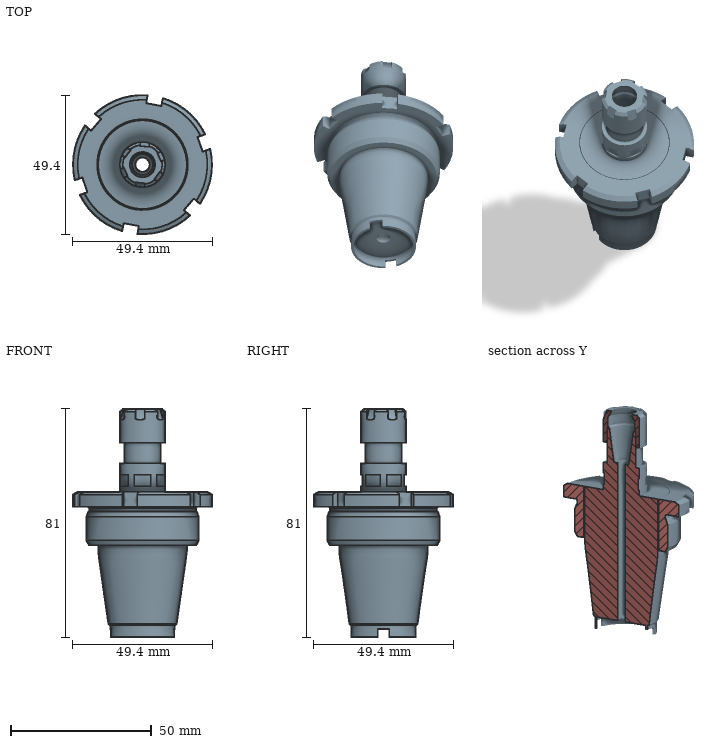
import cadquery as cq
import math

TOTAL_HEIGHT = 81.0
SHOULDER_LOW = 4.2
SHOULDER_HIGH = 4.8
TAPER_BREAK = 28.5
TAPER_TOP = 30.8
RING_BOTTOM = 32.55
FACE_HEIGHT = 51.6
COLLAR_TOP = 61.7
NUT_BOTTOM = 69.0
STEM_TOP = 75.0

FLANGE_DIAMETER = 49.4
FLANGE_THICKNESS = 5.35
FLANGE_CHAMFER_HEIGHT = 1.0
FLANGE_CHAMFER_WIDTH = 1.7
NECK_DIAMETER = 38.0
NECK_BOTTOM = 44.7
NECK_CHAMFER_WIDTH = 0.3
NECK_CHAMFER_HEIGHT = 0.4
NECK_FOOT_HEIGHT = 0.25
RING_BODY_DIAMETER = 40.0
RING_CHAMFER_HEIGHT = 1.8
RING_CHAMFER_WIDTH = 1.05
RING_BORE = 32.1
SPANNER_SLOT_WIDTH = 5.4
SPANNER_SLOT_FLOOR = 21.7
SPANNER_SLOT_ANGLE = 19.4

SHANK_DIAMETER = 31.6
TAPER_BREAK_DIAMETER = 31.1
TAPER_END_DIAMETER = 24.3
SKIRT_DIAMETER = 23.0
SKIRT_BORE = 21.2
WIDE_DRIVE_SLOT = 4.85
NARROW_DRIVE_SLOT = 4.05
DRIVE_SLOT_HEIGHT = 2.9
COLLAR_DIAMETER = 16.0
STEM_DIAMETER = 13.0
THROUGH_BORE = 5.0
WRENCH_FLATS_WIDTH = 14.9
WRENCH_FLATS_BOTTOM = 53.6
WRENCH_FLATS_HEIGHT = 4.0

SEAT_MOUTH = 11.9
SEAT_CHAMFER = 0.6
SEAT_BOTTOM_DIAMETER = 7.4
SEAT_HALF_ANGLE = 8.0

NUT_DIAMETER = COLLAR_DIAMETER
NUT_CHAMFER_WIDTH = 1.05
NUT_CHAMFER_HEIGHT = 1.0
NUT_MOUTH = 9.0
NUT_CONE_HALF_ANGLE = 30.0
NUT_SLOT_WIDTH = 3.2
NUT_SLOT_DEPTH = 3.9
NUT_SLOT_TOP_FLOOR = 6.5
NUT_SLOT_ANGLE = 23.6

REPEATS = 6
PITCH = 360.0 / REPEATS


def turned(profile):
    """Solid of revolution about Z from (radius, height) points."""
    return cq.Workplane("XZ").polyline(profile).close().revolve(360, (0, 0, 0), (0, 1, 0))


def bore(diameter, bottom, top):
    """Cylinder on the Z axis used to cut a bore."""
    return cq.Workplane("XY").workplane(offset=bottom).circle(diameter / 2).extrude(top - bottom)


def cut_around(body, cutter, first_angle):
    """Cut the cutter, given on the +X side, at equal steps around Z."""
    for i in range(REPEATS):
        body = body.cut(cutter.rotate((0, 0, 0), (0, 0, 1), first_angle + i * PITCH))
    return body


def make_clamp_ring():
    flange_radius = FLANGE_DIAMETER / 2
    neck_radius = NECK_DIAMETER / 2
    body_radius = RING_BODY_DIAMETER / 2
    bore_radius = RING_BORE / 2
    flange_bottom = FACE_HEIGHT - FLANGE_THICKNESS
    chamfer_radius = body_radius - RING_CHAMFER_WIDTH
    foot_height = NECK_BOTTOM - NECK_FOOT_HEIGHT
    ring = turned([
        (bore_radius, RING_BOTTOM),
        (chamfer_radius, RING_BOTTOM),
        (body_radius, RING_BOTTOM + RING_CHAMFER_HEIGHT),
        (body_radius, foot_height - RING_CHAMFER_HEIGHT),
        (neck_radius + NECK_CHAMFER_WIDTH, foot_height),
        (neck_radius, NECK_BOTTOM),
        (neck_radius, flange_bottom - NECK_CHAMFER_HEIGHT),
        (neck_radius + NECK_CHAMFER_WIDTH, flange_bottom),
        (flange_radius, flange_bottom),
        (flange_radius, FACE_HEIGHT - FLANGE_CHAMFER_HEIGHT),
        (flange_radius - FLANGE_CHAMFER_WIDTH, FACE_HEIGHT),
        (bore_radius, FACE_HEIGHT),
    ])
    spanner_slot = (
        cq.Workplane("XY", origin=(SPANNER_SLOT_FLOOR, 0, flange_bottom))
        .box(flange_radius, SPANNER_SLOT_WIDTH, FLANGE_THICKNESS, centered=(False, True, False))
    )
    return cut_around(ring, spanner_slot, SPANNER_SLOT_ANGLE)


def make_collet_seat():
    """Solid that fills the empty collet seat: a mouth chamfer above a slow taper."""
    mouth_radius = SEAT_MOUTH / 2
    taper_radius = mouth_radius - SEAT_CHAMFER
    bottom_radius = SEAT_BOTTOM_DIAMETER / 2
    taper_height = STEM_TOP - SEAT_CHAMFER
    taper_length = (taper_radius - bottom_radius) / math.tan(math.radians(SEAT_HALF_ANGLE))
    return turned([
        (0, taper_height - taper_length),
        (bottom_radius, taper_height - taper_length),
        (taper_radius, taper_height),
        (mouth_radius, STEM_TOP),
        (0, STEM_TOP),
    ])


def make_holder():
    holder = turned([
        (0, 0),
        (SKIRT_DIAMETER / 2, 0),
        (SKIRT_DIAMETER / 2, SHOULDER_LOW),
        (TAPER_END_DIAMETER / 2, SHOULDER_HIGH),
        (TAPER_BREAK_DIAMETER / 2, TAPER_BREAK),
        (SHANK_DIAMETER / 2, TAPER_TOP),
        (SHANK_DIAMETER / 2, FACE_HEIGHT),
        (COLLAR_DIAMETER / 2, FACE_HEIGHT),
        (COLLAR_DIAMETER / 2, COLLAR_TOP),
        (STEM_DIAMETER / 2, COLLAR_TOP),
        (STEM_DIAMETER / 2, STEM_TOP),
        (0, STEM_TOP),
    ])
    holder = holder.cut(bore(THROUGH_BORE, 0, TOTAL_HEIGHT))
    holder = holder.cut(bore(SKIRT_BORE, 0, SHOULDER_LOW))
    holder = holder.cut(make_collet_seat())

    for side, width in ((-1, WIDE_DRIVE_SLOT), (1, NARROW_DRIVE_SLOT)):
        drive_slot = cq.Workplane("XY", origin=(side * SKIRT_DIAMETER / 2, 0, 0)).box(
            SKIRT_DIAMETER / 2, width, DRIVE_SLOT_HEIGHT, centered=(True, True, False)
        )
        holder = holder.cut(drive_slot)

    wrench_flat = (
        cq.Workplane("XY", origin=(WRENCH_FLATS_WIDTH / 2, 0, WRENCH_FLATS_BOTTOM))
        .box(COLLAR_DIAMETER, COLLAR_DIAMETER, WRENCH_FLATS_HEIGHT, centered=(False, True, False))
    )
    return cut_around(holder, wrench_flat, PITCH / 2)


def make_cap_nut():
    outer_radius = NUT_DIAMETER / 2
    cone_depth = (SEAT_MOUTH - NUT_MOUTH) / 2 / math.tan(math.radians(NUT_CONE_HALF_ANGLE))
    nut = turned([
        (STEM_DIAMETER / 2, NUT_BOTTOM),
        (outer_radius, NUT_BOTTOM),
        (outer_radius, TOTAL_HEIGHT - NUT_CHAMFER_HEIGHT),
        (outer_radius - NUT_CHAMFER_WIDTH, TOTAL_HEIGHT),
        (NUT_MOUTH / 2, TOTAL_HEIGHT),
        (SEAT_MOUTH / 2, TOTAL_HEIGHT - cone_depth),
        (SEAT_MOUTH / 2, STEM_TOP),
        (STEM_DIAMETER / 2, STEM_TOP),
    ])
    nut_slot = (
        cq.Workplane("XZ")
        .polyline([
            (NUT_SLOT_TOP_FLOOR, TOTAL_HEIGHT),
            (outer_radius, TOTAL_HEIGHT - NUT_SLOT_DEPTH),
            (outer_radius, TOTAL_HEIGHT),
        ])
        .close()
        .extrude(NUT_SLOT_WIDTH / 2, both=True)
    )
    return cut_around(nut, nut_slot, NUT_SLOT_ANGLE)


clamp_ring = make_clamp_ring()
holder = make_holder()
cap_nut = make_cap_nut()

result = cq.Compound.makeCompound([clamp_ring.val(), holder.val(), cap_nut.val()])